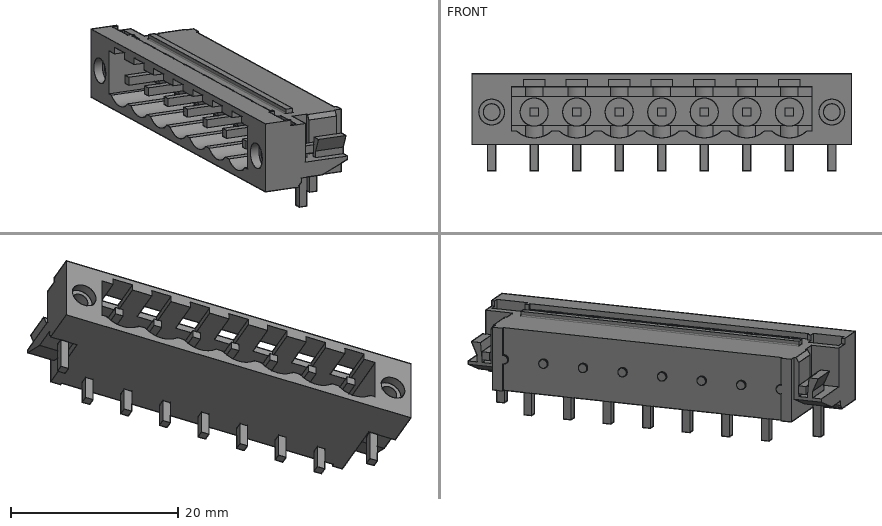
import cadquery as cq
import math


contact_count = 7
pitch = 5.1
contact_axis_z = 3.9
contact_xs = [(i - (contact_count - 1) / 2) * pitch for i in range(contact_count)]

wire = 1.0
tail_length = 3.15
contact_tip_y = 1.0
contact_tail_y = 9.53
hold_down_x = 20.3
hold_down_tail_y = 5.55
hold_down_rear_y = 11.35

length = 45.35
depth = 12.0
front_wall_top = 8.5
body_top = 7.8
flange_depth = 5.4
core_half_length = 19.2
rear_bay_half_length = 17.85
rear_face_y = 11.7
front_wall_mid_depth = 3.05
front_wall_end_depth = 3.45

cavity_half_length = 17.95
cavity_top = 7.0
ceiling_draft = 0.1
cavity_floor = 1.65
scallop_radius = cavity_top - contact_axis_z
cavity_depth = 8.07
band_front_y = 6.12
band_bottom = 2.3
band_top = 5.75
collar_radius = 1.7
collar_height = 0.2
column_radius = 1.45
column_width = 2.15
key_slot_width = 2.55
key_slot_depth = 4.17

nut_width = 3.9
nut_slot_front_y = 2.7
nut_slot_rear_y = 4.3
screw_counterbore_radius = 1.55
screw_counterbore_depth = 1.15
screw_hole_radius = 1.0

wing_top = 3.0
wing_bottom = 1.1
wing_rear_y = 11.05
wing_tip_bottom = 2.6
wing_slope_end_y = 7.6
foot_rear_y = 4.85
foot_chamfer = 0.35
foot_chamfer_bottom = 0.2

clip_front_y = 7.35
clip_clearance = 0.05
pad_clearance = 0.05
clip_top = 5.45
clip_slope_bottom = 3.8
clip_inner_draft = 0.23
clip_inner_x = hold_down_x + wire / 2 + clip_clearance
clip_outer_x = 22.25
clip_neck_x = 21.55
pad_outer_x = hold_down_x - wire / 2 - pad_clearance
pad_chamfer_width = 0.35
pad_chamfer_height = 0.6

rail_front_y = 5.25
rail_width = 0.85
rail_top = 8.35
rail_fillet = 0.15
boss_radius = 0.55


def block(x0, x1, y0, y1, z0, z1):
    """Axis-aligned box between two opposite corners."""
    return cq.Workplane("XY").box(x1 - x0, y1 - y0, z1 - z0, centered=False).translate((x0, y0, z0))


def rod(x, z, radius, y0, y1):
    """Cylinder along Y from y0 to y1."""
    return cq.Workplane("XZ", origin=(x, y0, z)).circle(radius).extrude(y0 - y1)


def side_prism(points, x0, x1):
    """Outline in Y and Z, extruded along X."""
    return cq.Workplane("YZ", origin=(x0, 0, 0)).polyline(points).close().extrude(x1 - x0)


def front_prism(points, y0, y1):
    """Outline in X and Z, extruded along Y."""
    return cq.Workplane("XZ", origin=(0, y0, 0)).polyline(points).close().extrude(y0 - y1)


def both_ends(shape):
    """A feature of the +X end together with its mirror image at the -X end."""
    return shape.union(shape.mirror("YZ"))


def bent_pin(x, end_y, tail_y):
    """Square wire: a horizontal arm from end_y to the tail, and the tail running down below the housing."""
    arm_bottom = contact_axis_z - wire / 2
    arm_start = min(end_y, tail_y)
    arm_end = max(end_y, tail_y + wire)
    arm = block(x - wire / 2, x + wire / 2, arm_start, arm_end, arm_bottom, arm_bottom + wire)
    tail = block(x - wire / 2, x + wire / 2, tail_y, tail_y + wire, -tail_length, arm_bottom + wire)
    return arm.union(tail)


def contact_pin(x):
    return bent_pin(x, contact_tip_y, contact_tail_y)


def hold_down_pin(x):
    return bent_pin(x, hold_down_rear_y, hold_down_tail_y)


def outer_shell():
    """Core with a shallow rear recess, a raised front wall, and flanges whose wings reach to the rear."""
    core = block(-core_half_length, core_half_length, 0, depth, 0, body_top)
    rear_bay = block(-rear_bay_half_length, rear_bay_half_length, rear_face_y, depth, 0, body_top)
    front_wall = block(-length / 2, length / 2, 0, front_wall_end_depth, 0, front_wall_top)
    wall_relief = block(-rear_bay_half_length, rear_bay_half_length,
                        front_wall_mid_depth, front_wall_end_depth, body_top, front_wall_top)
    flange_profile = [
        (0, 0), (foot_rear_y - foot_chamfer, 0), (foot_rear_y - foot_chamfer, foot_chamfer_bottom),
        (foot_rear_y, foot_chamfer_bottom + foot_chamfer), (foot_rear_y, wing_bottom),
        (wing_slope_end_y, wing_bottom), (wing_rear_y, wing_tip_bottom), (wing_rear_y, wing_top),
        (flange_depth, wing_top), (flange_depth, body_top), (0, body_top),
    ]
    flange = both_ends(side_prism(flange_profile, core_half_length, length / 2))
    return core.cut(rear_bay).union(front_wall.cut(wall_relief)).union(flange)


def cavity():
    """Socket with a round scallop around every contact, under a drafted ceiling."""
    bounds_profile = [(0, 0), (cavity_depth, 0), (cavity_depth, cavity_top - ceiling_draft), (0, cavity_top)]
    bounds = side_prism(bounds_profile, -cavity_half_length, cavity_half_length)
    space = block(-cavity_half_length, cavity_half_length, 0, cavity_depth, cavity_floor, cavity_top)
    for x in contact_xs:
        space = space.union(rod(x, contact_axis_z, scallop_radius, 0, cavity_depth))
    return space.intersect(bounds)


def key_slots():
    """Slots above the contacts, breaking out of the body top behind the front wall."""
    slots = cq.Workplane("XY")
    for x in contact_xs:
        slots = slots.union(block(x - key_slot_width / 2, x + key_slot_width / 2,
                                  0, key_slot_depth, contact_axis_z, body_top))
    return slots


def contact_supports():
    """Band across the back of the cavity, with a collar and a rounded column at every contact."""
    column_axis_y = cavity_depth + math.sqrt(column_radius ** 2 - (column_width / 2) ** 2)
    band = block(-cavity_half_length, cavity_half_length, band_front_y, cavity_depth, band_bottom, band_top)
    for x in contact_xs:
        collar = rod(x, contact_axis_z, collar_radius, band_front_y - collar_height, cavity_depth)
        column = cq.Workplane("XY").center(x, column_axis_y).circle(column_radius).extrude(body_top)
        band = band.union(collar).union(column)
    return band


def screw_mounts():
    """Nut slot open at the top, with a counterbored screw hole from the mating face into it."""
    slot = block(hold_down_x - nut_width / 2, hold_down_x + nut_width / 2, nut_slot_front_y, nut_slot_rear_y,
                 contact_axis_z - nut_width / 2, front_wall_top)
    hole = rod(hold_down_x, contact_axis_z, screw_hole_radius, 0, nut_slot_rear_y)
    counterbore = rod(hold_down_x, contact_axis_z, screw_counterbore_radius, 0, screw_counterbore_depth)
    return both_ends(slot.union(hole).union(counterbore))


def clips():
    """Hooked strips standing on the wings, outside the hold-down pins."""
    profile = [
        (clip_inner_x, wing_top), (clip_inner_x + clip_inner_draft, clip_top), (clip_outer_x, clip_top),
        (clip_neck_x, clip_slope_bottom), (clip_neck_x, wing_top),
    ]
    return both_ends(front_prism(profile, clip_front_y, wing_rear_y))


def guide_pads():
    """Chamfered thickening of the core sides, inside the hold-down pins."""
    profile = [
        (core_half_length, wing_top), (pad_outer_x, wing_top), (pad_outer_x, body_top - pad_chamfer_height),
        (pad_outer_x - pad_chamfer_width, body_top), (core_half_length, body_top),
    ]
    return both_ends(front_prism(profile, clip_front_y, wing_rear_y))


def top_rail():
    """Rail along the body top, with filleted feet on both long sides."""
    rail_rear_y = rail_front_y + rail_width
    arc_middle = rail_fillet * (1 - math.sqrt(0.5))
    return (
        cq.Workplane("YZ", origin=(-rear_bay_half_length, 0, 0))
        .moveTo(rail_front_y - rail_fillet, body_top)
        .threePointArc((rail_front_y - arc_middle, body_top + arc_middle),
                       (rail_front_y, body_top + rail_fillet))
        .lineTo(rail_front_y, rail_top)
        .lineTo(rail_rear_y, rail_top)
        .lineTo(rail_rear_y, body_top + rail_fillet)
        .threePointArc((rail_rear_y + arc_middle, body_top + arc_middle),
                       (rail_rear_y + rail_fillet, body_top))
        .close()
        .extrude(2 * rear_bay_half_length)
    )


def rear_bosses():
    """Round bosses on the rear face, midway between contacts and at both ends of the row."""
    bosses = cq.Workplane("XY")
    for i in range(contact_count + 1):
        x = contact_xs[0] + (i - 0.5) * pitch
        bosses = bosses.union(rod(x, contact_axis_z, boss_radius, rear_face_y, depth))
    return bosses


contact_pins = [contact_pin(x) for x in contact_xs]
hold_down_pins = [hold_down_pin(x) for x in (-hold_down_x, hold_down_x)]

housing = outer_shell().cut(cavity()).cut(key_slots())
housing = housing.union(contact_supports()).cut(screw_mounts())
housing = housing.union(clips()).union(guide_pads()).union(top_rail()).union(rear_bosses())
for pin in contact_pins + hold_down_pins:
    housing = housing.cut(pin)

result = cq.Compound.makeCompound(
    [housing.val()] + [pin.val() for pin in contact_pins] + [pin.val() for pin in hold_down_pins]
)